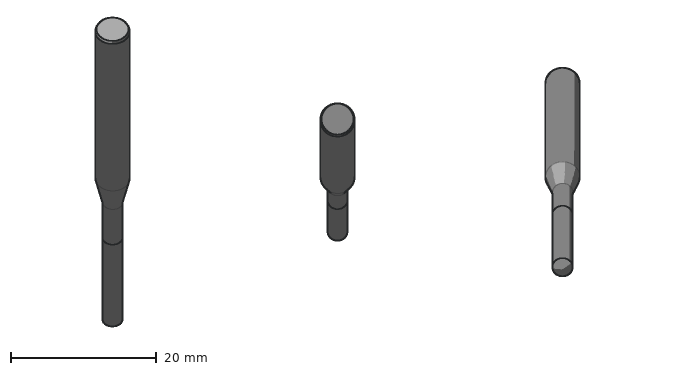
import cadquery as cq

overall_length = 59.4
shank_diameter = 4.75
shank_length = 30.1
shank_chamfer_width = 0.2
shank_chamfer_height = 0.4
taper_length = 4.8
neck_diameter = 2.8
neck_length = 7.2
cutter_diameter = neck_diameter
tip_height = 0.7

shank_radius = shank_diameter / 2
neck_radius = neck_diameter / 2
cutter_radius = cutter_diameter / 2
shank_bottom = overall_length - shank_length
neck_top = shank_bottom - taper_length
cutter_top = neck_top - neck_length


def revolve_profile(points):
    """Revolve a closed (radius, height) outline about the Z axis."""
    return cq.Workplane("XZ").polyline(points).close().revolve(360, (0, 0), (0, 1))


def make_shank():
    """Chamfered cylindrical shank tapering down to a slim neck."""
    return revolve_profile([
        (0, cutter_top),
        (neck_radius, cutter_top),
        (neck_radius, neck_top),
        (shank_radius, shank_bottom),
        (shank_radius, overall_length - shank_chamfer_height),
        (shank_radius - shank_chamfer_width, overall_length),
        (0, overall_length),
    ])


def make_cutter():
    """Cylindrical drill blank with a conical point, butted against the neck."""
    return revolve_profile([
        (0, 0),
        (cutter_radius, tip_height),
        (cutter_radius, cutter_top),
        (0, cutter_top),
    ])


shank = make_shank()
cutter = make_cutter()

result = cq.Compound.makeCompound([shank.val(), cutter.val()])